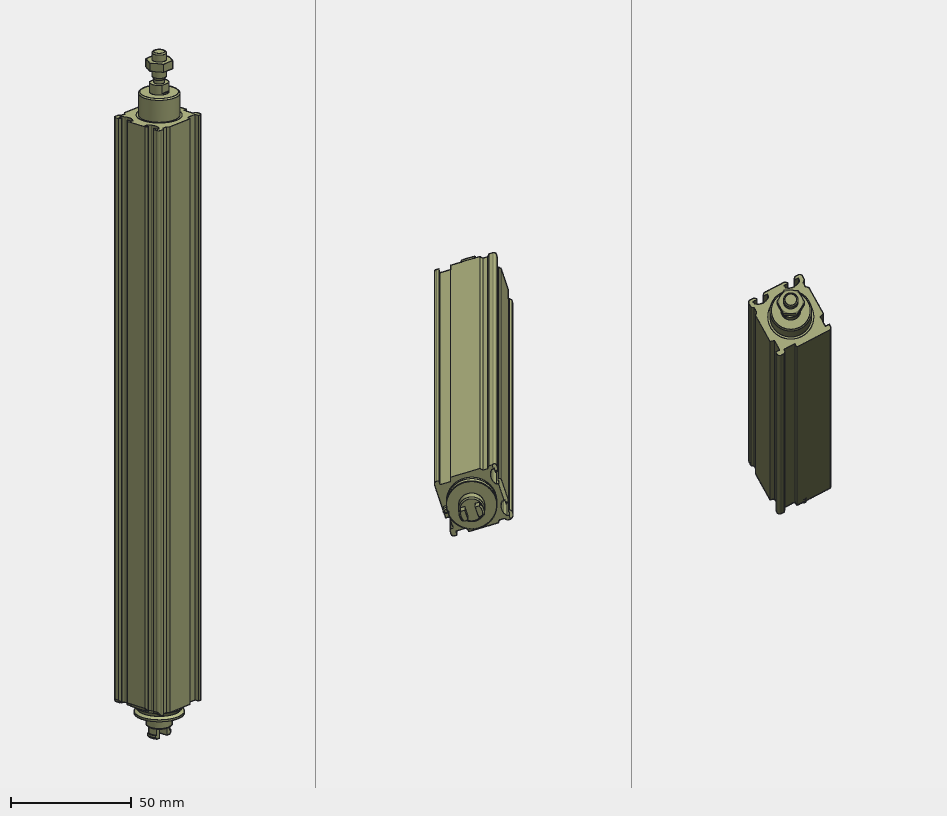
import cadquery as cq
import math


barrel_width = 25.0
barrel_depth = 27.0
barrel_back = barrel_width / 2
barrel_front = barrel_back - barrel_depth
barrel_bottom = 15.5
barrel_top = 274.5
barrel_corner_radius = 1.2
front_edge_drop = 1.8
front_edge_depth = 1.5

t_slot_offset = 7.3
t_slot_mouth_width = 3.0
t_slot_flare_width = 4.8
t_slot_flare_depth = 0.75
t_slot_lip_depth = 1.2
t_slot_width = 6.7
t_slot_wide_depth = 2.5
t_slot_wall_width = 3.5
t_slot_wall_depth = 3.3
t_slot_floor_width = 1.2
t_slot_depth = 3.5
side_groove_low = 5.0
side_groove_high = 10.3
side_groove_taper = 0.5
side_groove_depth = 1.8
side_notch_low = -11.5
side_notch_high = -7.5
side_notch_taper = 1.0
side_notch_depth = 1.05
back_groove_left = 4.0
back_groove_right = 9.0
back_groove_depth = 1.65
back_groove_chamfer = 0.75

spigot_diameter = 19.0
spigot_depth = 6.0
collar_diameter = 17.2
collar_top = 284.7
collar_chamfer = 0.5

rod_diameter = 8.2
rod_shoulder = 289.0
flat_bottom = 285.3
flat_width = 7.0
neck_diameter = 4.5
neck_taper_end = 290.5
thread_diameter = 6.0
thread_bottom = 291.5
rod_top = 302.5
rod_tip_chamfer = 0.5

nut_flats = 10.0
nut_bottom = 295.2
nut_top = 299.0
nut_chamfer_angle = 15.0

end_cap_diameter = 21.0
end_cap_bottom = 10.0
v_groove_bottom = 11.0
v_groove_root = 11.8
v_groove_top = 13.5
v_groove_depth = 1.5

plug_diameter = 11.0
plug_bottom = 4.5
plug_chamfer = 0.5
plug_seat_depth = 1.8
hook_width = 4.5
hook_gap = 4.5
hook_diameter = 9.5
barb_diameter = 10.5
barb_top = 1.8
barb_bottom = 1.0
hook_tip_diameter = 9.0

pin_diameter = 2.5
pin_y = 11.2
pin_exposed = 3.0
pin_seat_depth = 3.0
pin_tip_chamfer = 0.5


def cylinder(diameter, bottom, top):
    return cq.Workplane("XY").workplane(offset=bottom).circle(diameter / 2).extrude(top - bottom)


def box(left, right, front, back, bottom, top):
    return cq.Workplane("XY").box(right - left, back - front, top - bottom, centered=False).translate(
        (left, front, bottom)
    )


def revolved(points):
    """Turn a half-section of (radius, height) points around the rod axis."""
    return cq.Workplane("XZ").polyline(points).close().revolve(360, (0, 0), (0, 1))


def along_barrel(points):
    """Prism with the given XY outline and the full barrel length."""
    length = barrel_top - barrel_bottom
    return cq.Workplane("XY").workplane(offset=barrel_bottom).polyline(points).close().extrude(length)


def t_slot(center_x):
    half_section = [
        (t_slot_flare_width / 2, barrel_front),
        (t_slot_mouth_width / 2, barrel_front + t_slot_flare_depth),
        (t_slot_mouth_width / 2, barrel_front + t_slot_lip_depth),
        (t_slot_width / 2, barrel_front + t_slot_lip_depth),
        (t_slot_width / 2, barrel_front + t_slot_wide_depth),
        (t_slot_wall_width / 2, barrel_front + t_slot_wall_depth),
        (t_slot_floor_width / 2, barrel_front + t_slot_depth),
    ]
    right_side = [(center_x + x, y) for x, y in half_section]
    left_side = [(center_x - x, y) for x, y in reversed(half_section)]
    return along_barrel(right_side + left_side)


def side_grooves(side):
    """Groove with a sloped lower flank and tapered notch on the side wall at +X (1) or -X (-1)."""
    wall = side * barrel_width / 2
    groove_floor = wall - side * side_groove_depth
    notch_floor = wall - side * side_notch_depth
    groove = along_barrel([
        (wall, side_groove_low),
        (wall, side_groove_high),
        (groove_floor, side_groove_high),
        (groove_floor, side_groove_low + side_groove_taper),
    ])
    notch = along_barrel([
        (wall, side_notch_low),
        (wall, side_notch_high),
        (notch_floor, side_notch_high - side_notch_taper),
        (notch_floor, side_notch_low + side_notch_taper),
    ])
    return groove.union(notch)


def back_groove():
    """Groove in the back wall, with its +X lip chamfered."""
    floor = barrel_back - back_groove_depth
    return along_barrel([
        (back_groove_left, barrel_back),
        (back_groove_left, floor),
        (back_groove_right, floor),
        (back_groove_right, barrel_back - back_groove_chamfer),
        (back_groove_right + back_groove_chamfer, barrel_back),
    ])


def front_edge_bevel():
    """Wedge that bevels the lower front edge across the full width."""
    return (
        cq.Workplane("YZ")
        .polyline([
            (barrel_front, barrel_bottom),
            (barrel_front + front_edge_depth, barrel_bottom),
            (barrel_front, barrel_bottom + front_edge_drop),
        ])
        .close()
        .extrude(barrel_width / 2, both=True)
    )


def make_barrel():
    half_width = barrel_width / 2
    barrel = box(-half_width, half_width, barrel_front, barrel_back, barrel_bottom, barrel_top)
    barrel = barrel.edges("|Z").fillet(barrel_corner_radius)
    barrel = barrel.cut(front_edge_bevel())
    for side in (-1, 1):
        barrel = barrel.cut(t_slot(side * t_slot_offset)).cut(side_grooves(side))
    barrel = barrel.cut(back_groove())
    barrel = barrel.cut(cylinder(spigot_diameter, barrel_top - spigot_depth, barrel_top))
    pin_hole = cylinder(pin_diameter, barrel_bottom, barrel_bottom + pin_seat_depth)
    return barrel.cut(pin_hole.translate((0, pin_y, 0)))


def make_bearing_cap():
    spigot = cylinder(spigot_diameter, barrel_top - spigot_depth, barrel_top)
    collar = cylinder(collar_diameter, barrel_top, collar_top).faces(">Z").chamfer(collar_chamfer)
    rod_bore = cylinder(rod_diameter, barrel_top - spigot_depth, collar_top)
    return spigot.union(collar).cut(rod_bore)


def make_rod():
    rod = revolved([
        (0, barrel_top - spigot_depth),
        (rod_diameter / 2, barrel_top - spigot_depth),
        (rod_diameter / 2, rod_shoulder),
        (neck_diameter / 2, rod_shoulder),
        (neck_diameter / 2, neck_taper_end),
        (thread_diameter / 2, thread_bottom),
        (thread_diameter / 2, rod_top - rod_tip_chamfer),
        (thread_diameter / 2 - rod_tip_chamfer, rod_top),
        (0, rod_top),
    ])
    for side in (-1, 1):
        inner, outer = sorted((side * flat_width / 2, side * rod_diameter / 2))
        rod = rod.cut(box(inner, outer, -rod_diameter / 2, rod_diameter / 2, flat_bottom, rod_shoulder))
    return rod


def make_nut():
    corner_diameter = nut_flats / math.cos(math.pi / 6)
    corner_drop = (corner_diameter - nut_flats) / 2 * math.tan(math.radians(nut_chamfer_angle))
    hexagon = cq.Workplane("XY").workplane(offset=nut_bottom).polygon(6, corner_diameter)
    hexagon = hexagon.extrude(nut_top - nut_bottom).rotate((0, 0, 0), (0, 0, 1), 90)
    chamfered_top = revolved([
        (0, nut_bottom),
        (corner_diameter / 2, nut_bottom),
        (corner_diameter / 2, nut_top - corner_drop),
        (nut_flats / 2, nut_top),
        (0, nut_top),
    ])
    return hexagon.intersect(chamfered_top).cut(cylinder(thread_diameter, nut_bottom, nut_top))


def make_end_cap():
    rim = end_cap_diameter / 2
    cap = revolved([
        (0, end_cap_bottom),
        (rim, end_cap_bottom),
        (rim, v_groove_bottom),
        (rim - v_groove_depth, v_groove_root),
        (rim, v_groove_top),
        (rim, barrel_bottom),
        (0, barrel_bottom),
    ])
    plug_seat = cylinder(plug_diameter, end_cap_bottom, end_cap_bottom + plug_seat_depth)
    pin_clearance = cylinder(pin_diameter, end_cap_bottom, barrel_bottom).translate((0, pin_y, 0))
    return cap.cut(plug_seat).cut(pin_clearance)


def make_snap_plug():
    plug = cylinder(plug_diameter, plug_bottom, end_cap_bottom + plug_seat_depth)
    plug = plug.faces("<Z").chamfer(plug_chamfer)
    barbed_stem = revolved([
        (0, 0),
        (hook_tip_diameter / 2, 0),
        (barb_diameter / 2, barb_bottom),
        (barb_diameter / 2, barb_top),
        (hook_diameter / 2, barb_top),
        (hook_diameter / 2, plug_bottom),
        (0, plug_bottom),
    ])
    half_width = hook_width / 2
    for side in (-1, 1):
        front, back = sorted((side * hook_gap / 2, side * barb_diameter / 2))
        hook = barbed_stem.intersect(box(-half_width, half_width, front, back, 0, plug_bottom))
        plug = plug.union(hook)
    return plug


def make_pin():
    pin = cylinder(pin_diameter, barrel_bottom - pin_exposed, barrel_bottom + pin_seat_depth)
    return pin.faces("<Z").chamfer(pin_tip_chamfer).translate((0, pin_y, 0))


barrel = make_barrel()
bearing_cap = make_bearing_cap()
piston_rod = make_rod()
lock_nut = make_nut()
end_cap = make_end_cap()
snap_plug = make_snap_plug()
locating_pin = make_pin()

result = cq.Compound.makeCompound([
    barrel.val(),
    bearing_cap.val(),
    piston_rod.val(),
    lock_nut.val(),
    end_cap.val(),
    snap_plug.val(),
    locating_pin.val(),
])